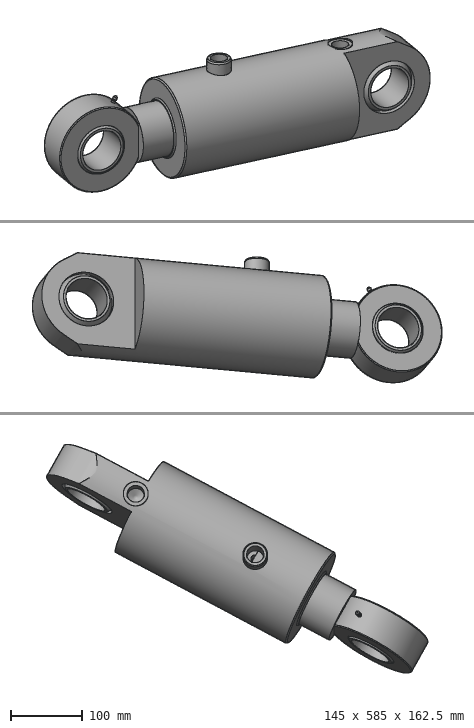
import cadquery as cq
import math


barrel_radius = 145 / 2
barrel_rear_y = -71
barrel_front_y = -346
barrel_chamfer = 2
rear_eye_width = 50
rear_eye_radius = 65
rear_eye_half_height = 73
rear_eye_slope = math.radians(31)
rear_eye_blend_radius = 42
rear_eye_opening = 80

collar_length = 2
collar_base_diameter = 87
collar_tip_diameter = 83

port_diameter = 35
port_bore_diameter = 24.12
port_tip_half_angle = math.radians(59)
rear_port_y = -64.5
rear_port_seat_z = 70
rear_port_depth = 18
front_port_y = -256
front_port_top_z = 90
front_port_chamfer_width = 1.5
front_port_chamfer_height = 2.5
front_port_floor_radius = 62.5
front_port_step_depth = 2.5
front_port_step_offset = 2
front_port_passage_diameter = 12

rod_diameter = 80
rod_inner_end_y = -100
rod_front_y = -396
rod_eye_y = -455
rod_eye_radius = 65
rod_eye_width = 50
rod_eye_opening = 74
rod_eye_chamfer = 1.5

nipple_elevation = 61
nipple_base_diameter = 6
nipple_stem_diameter = 4
nipple_head_diameter = 6
nipple_tip_diameter = 3
nipple_base_end = 67.5
nipple_head_start = 69.5
nipple_head_end = 73
nipple_tip_end = 75

ball_bore_diameter = 60
ball_face_diameter = 67.7
ball_width = 54
ball_radius = math.hypot(ball_face_diameter, ball_width) / 2


def cylinder_along_x(diameter, length, y):
    """Cylinder centred on X = 0 whose axis crosses the Y axis at y."""
    return cq.Workplane("YZ").center(y, 0).circle(diameter / 2).extrude(length / 2, both=True)


def cylinder_along_y(diameter, start_y, end_y):
    """Cylinder about the Y axis, running from start_y forward to end_y."""
    return cq.Workplane("XZ", origin=(0, start_y, 0)).circle(diameter / 2).extrude(start_y - end_y)


def cylinder_along_z(diameter, y, bottom_z, top_z):
    """Vertical cylinder at X = 0."""
    return cq.Workplane("XY", origin=(0, y, bottom_z)).circle(diameter / 2).extrude(top_z - bottom_z)


def eye_cavity(opening_diameter, width, y):
    """Spherical socket with a cylindrical opening on both sides."""
    opening_radius = opening_diameter / 2
    seam_x = math.sqrt(ball_radius**2 - opening_radius**2)
    return (
        cq.Workplane("XY", origin=(0, y, 0))
        .moveTo(-width / 2, 0)
        .lineTo(-width / 2, opening_radius)
        .lineTo(-seam_x, opening_radius)
        .threePointArc((0, ball_radius), (seam_x, opening_radius))
        .lineTo(width / 2, opening_radius)
        .lineTo(width / 2, 0)
        .close()
        .revolve(360, (0, 0, 0), (1, 0, 0))
    )


def make_ball(y):
    """Pivot ball: sphere with two flat faces and a pin bore."""
    face_radius = ball_face_diameter / 2
    bore_radius = ball_bore_diameter / 2
    return (
        cq.Workplane("XY", origin=(0, y, 0))
        .moveTo(-ball_width / 2, bore_radius)
        .lineTo(-ball_width / 2, face_radius)
        .threePointArc((0, ball_radius), (ball_width / 2, face_radius))
        .lineTo(ball_width / 2, bore_radius)
        .close()
        .revolve(360, (0, 0, 0), (1, 0, 0))
    )


def make_rear_eye():
    """Flat eye: round end, tangent slopes and blends that run out on the barrel radius."""
    slope_sin = math.sin(rear_eye_slope)
    slope_cos = math.cos(rear_eye_slope)
    round_end = (rear_eye_radius * slope_sin, rear_eye_radius * slope_cos)
    corner_y = round_end[0] - (rear_eye_half_height - round_end[1]) * slope_cos / slope_sin
    blend_length = rear_eye_blend_radius * math.tan(rear_eye_slope / 2)
    blend_start = (corner_y + blend_length * slope_cos, rear_eye_half_height - blend_length * slope_sin)
    blend_end = (corner_y - blend_length, rear_eye_half_height)
    half_slope = rear_eye_slope / 2
    blend_middle = (
        blend_end[0] + rear_eye_blend_radius * math.sin(half_slope),
        rear_eye_half_height - rear_eye_blend_radius * (1 - math.cos(half_slope)),
    )

    def below(point):
        return (point[0], -point[1])

    plate = (
        cq.Workplane("YZ")
        .moveTo(barrel_rear_y, rear_eye_half_height)
        .lineTo(*blend_end)
        .threePointArc(blend_middle, blend_start)
        .lineTo(*round_end)
        .threePointArc((rear_eye_radius, 0), below(round_end))
        .lineTo(*below(blend_start))
        .threePointArc(below(blend_middle), below(blend_end))
        .lineTo(barrel_rear_y, -rear_eye_half_height)
        .close()
        .extrude(rear_eye_width / 2, both=True)
    )
    return plate.intersect(cylinder_along_y(2 * barrel_radius, rear_eye_radius, barrel_rear_y))


def make_rear_port_cut():
    """Spot face and blind port bore with a drill tip."""
    bore_radius = port_bore_diameter / 2
    floor_z = rear_port_seat_z - rear_port_depth
    tip_z = floor_z - bore_radius / math.tan(port_tip_half_angle)
    drill = (
        cq.Workplane("XZ", origin=(0, rear_port_y, 0))
        .moveTo(0, tip_z)
        .lineTo(bore_radius, floor_z)
        .lineTo(bore_radius, barrel_radius)
        .lineTo(0, barrel_radius)
        .close()
        .revolve(360, (0, 0, 0), (0, 1, 0))
    )
    return drill.union(cylinder_along_z(port_diameter, rear_port_y, rear_port_seat_z, barrel_radius))


def make_front_port_boss():
    """Upright boss with a steep chamfer round its top."""
    boss = cylinder_along_z(port_diameter, front_port_y, rod_diameter / 2, front_port_top_z)
    return boss.faces(">Z").edges().chamfer(front_port_chamfer_height, front_port_chamfer_width)


def make_front_port_cut():
    """Port bore with a rounded floor, deeper behind a step, and a passage to the rod."""
    step_y = front_port_y + front_port_step_offset
    bore = cylinder_along_z(port_bore_diameter, front_port_y, 0, front_port_top_z)
    passage = cylinder_along_z(front_port_passage_diameter, front_port_y, 0, front_port_top_z)
    deep_floor_radius = front_port_floor_radius - front_port_step_depth
    front_floor = cylinder_along_y(2 * front_port_floor_radius, step_y, barrel_front_y)
    rear_floor = cylinder_along_y(2 * deep_floor_radius, barrel_rear_y, step_y).cut(passage)
    return bore.cut(front_floor).cut(rear_floor)


def make_housing():
    barrel = cylinder_along_y(2 * barrel_radius, barrel_rear_y, barrel_front_y)
    barrel = barrel.faces("<Y").edges().chamfer(barrel_chamfer)
    collar = (
        cq.Workplane("XZ", origin=(0, barrel_front_y, 0))
        .circle(collar_base_diameter / 2)
        .workplane(offset=collar_length)
        .circle(collar_tip_diameter / 2)
        .loft()
    )
    collar_front_y = barrel_front_y - collar_length
    return (
        barrel.union(make_rear_eye())
        .union(collar)
        .union(make_front_port_boss())
        .cut(cylinder_along_y(rod_diameter, rod_inner_end_y, collar_front_y))
        .cut(eye_cavity(rear_eye_opening, rear_eye_width, 0))
        .cut(make_rear_port_cut())
        .cut(make_front_port_cut())
    )


def make_nipple():
    """Grease nipple standing radially on the upper rear of the rod eye."""
    root = (rod_eye_radius + rod_eye_opening / 2) / 2
    nipple = (
        cq.Workplane("YZ")
        .moveTo(root, 0)
        .lineTo(root, nipple_base_diameter / 2)
        .lineTo(nipple_base_end, nipple_base_diameter / 2)
        .lineTo(nipple_base_end, nipple_stem_diameter / 2)
        .lineTo(nipple_head_start, nipple_stem_diameter / 2)
        .lineTo(nipple_head_start, nipple_head_diameter / 2)
        .lineTo(nipple_head_end, nipple_head_diameter / 2)
        .lineTo(nipple_tip_end, nipple_tip_diameter / 2)
        .lineTo(nipple_tip_end, 0)
        .close()
        .revolve(360, (0, 0, 0), (1, 0, 0))
    )
    return nipple.rotate((0, 0, 0), (1, 0, 0), nipple_elevation).translate((0, rod_eye_y, 0))


def make_rod():
    """Rod with its eye, which is cut flat where it meets the end of the rod."""
    rod = cylinder_along_y(rod_diameter, rod_inner_end_y, rod_front_y)
    eye_envelope = cylinder_along_y(4 * rod_eye_radius, rod_front_y, rod_eye_y - rod_eye_radius)
    eye = cylinder_along_x(2 * rod_eye_radius, rod_eye_width, rod_eye_y)
    eye = eye.faces("<X or >X").edges().chamfer(rod_eye_chamfer)
    return (
        rod.union(eye.intersect(eye_envelope))
        .union(make_nipple())
        .cut(eye_cavity(rod_eye_opening, rod_eye_width, rod_eye_y))
    )


housing = make_housing()
rod = make_rod()
balls = [make_ball(y) for y in (0, rod_eye_y)]

result = cq.Compound.makeCompound([housing.val(), rod.val(), *[ball.val() for ball in balls]])